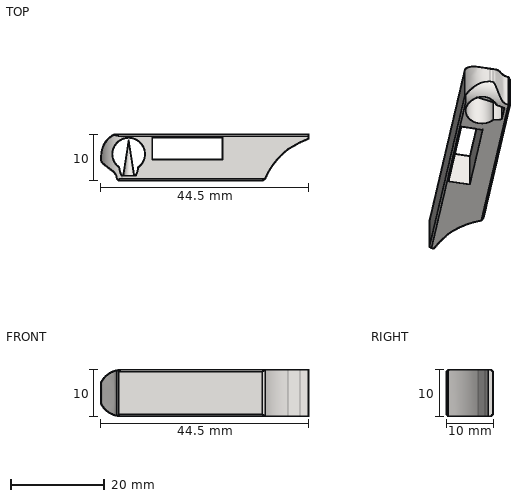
import cadquery as cq

length = 44.5
width = 10.0
height = 10.0
edge_chamfer = 0.45

nose_round_radius = height / 2
nose_round_x = 4.5
nose_back_x = 3.0
nose_tip_y = 5.1
nose_foot_x = 3.43

tail_foot_x = 35.2
tail_chamfer_length = 0.6
tail_tip_thickness = 1.0

hole_x = 5.95
hole_y = 5.75
hole_radius = 3.45
pocket_mouth_half_width = 2.0
pocket_mouth_y = 2.9
pocket_side_half_width = 1.85
pocket_side_y = 2.15
pocket_floor_half_width = 1.45
pocket_floor_y = 1.1

window_left = 11.05
window_right = 26.03
window_front = 4.63
window_back = 9.25

needle_base_radius = 1.2
needle_length = 7.65


def extrude_through(sketch):
    """Extrude an XY outline over the full height, centred on Z = 0."""
    return sketch.extrude(height).translate((0, 0, -height / 2))


def make_outline_block():
    """Block with the nose and tail outline."""
    outline = (
        cq.Workplane("XY")
        .moveTo(nose_foot_x + edge_chamfer, 0)
        .lineTo(tail_foot_x - tail_chamfer_length, 0)
        .lineTo(tail_foot_x, edge_chamfer)
        .threePointArc((37.2, 3.85), (40.1, 6.75))
        .lineTo(42.58, 8.2)
        .lineTo(length, width - tail_tip_thickness)
        .lineTo(length, width)
        .lineTo(nose_back_x, width)
        .spline(
            [
                (0.7, 7.9),
                (0, nose_tip_y),
                (0.15, 4.1),
                (0.5, 3.7),
                (2.05, 2.5),
                (2.85, 1.82),
                (nose_foot_x, edge_chamfer),
            ],
            includeCurrent=True,
        )
        .close()
    )
    return extrude_through(outline)


def make_chamfered_bar():
    """Bar along X whose four long edges are chamfered."""
    return (
        cq.Workplane("XY")
        .box(length, width, height, centered=(False, False, True))
        .edges("|X")
        .chamfer(edge_chamfer)
    )


def make_nose_envelope():
    """Bar along Y, half-round at the nose, that rounds the nose top and bottom."""
    return (
        cq.Workplane("XZ")
        .moveTo(length, -nose_round_radius)
        .lineTo(nose_round_x, -nose_round_radius)
        .threePointArc((nose_round_x - nose_round_radius, 0), (nose_round_x, nose_round_radius))
        .lineTo(length, nose_round_radius)
        .close()
        .extrude(-width)
    )


def make_hole():
    """Round through hole merged with the pocket for the needle."""
    round_hole = extrude_through(
        cq.Workplane("XY").center(hole_x, hole_y).circle(hole_radius)
    )
    pocket = extrude_through(
        cq.Workplane("XY")
        .moveTo(hole_x - pocket_floor_half_width, pocket_floor_y)
        .lineTo(hole_x + pocket_floor_half_width, pocket_floor_y)
        .threePointArc(
            (hole_x + pocket_side_half_width, pocket_side_y),
            (hole_x + pocket_mouth_half_width, pocket_mouth_y),
        )
        .lineTo(hole_x, hole_y)
        .lineTo(hole_x - pocket_mouth_half_width, pocket_mouth_y)
        .threePointArc(
            (hole_x - pocket_side_half_width, pocket_side_y),
            (hole_x - pocket_floor_half_width, pocket_floor_y),
        )
        .close()
    )
    return round_hole.union(pocket)


def make_window():
    """Rectangular opening through the full height."""
    return extrude_through(
        cq.Workplane("XY")
        .center((window_left + window_right) / 2, (window_front + window_back) / 2)
        .rect(window_right - window_left, window_back - window_front)
    )


def make_housing():
    """Shaped block with the hole and the window cut through it."""
    block = make_outline_block().intersect(make_chamfered_bar()).intersect(make_nose_envelope())
    return block.cut(make_hole()).cut(make_window())


def make_needle():
    """Sharp cone pointing along +Y, its base resting on the pocket floor."""
    base_centre = cq.Vector(hole_x, pocket_floor_y, 0)
    return cq.Solid.makeCone(needle_base_radius, 0, needle_length, base_centre, cq.Vector(0, 1, 0))


housing = make_housing()
needle = make_needle()

result = cq.Compound.makeCompound([*housing.solids().vals(), needle])